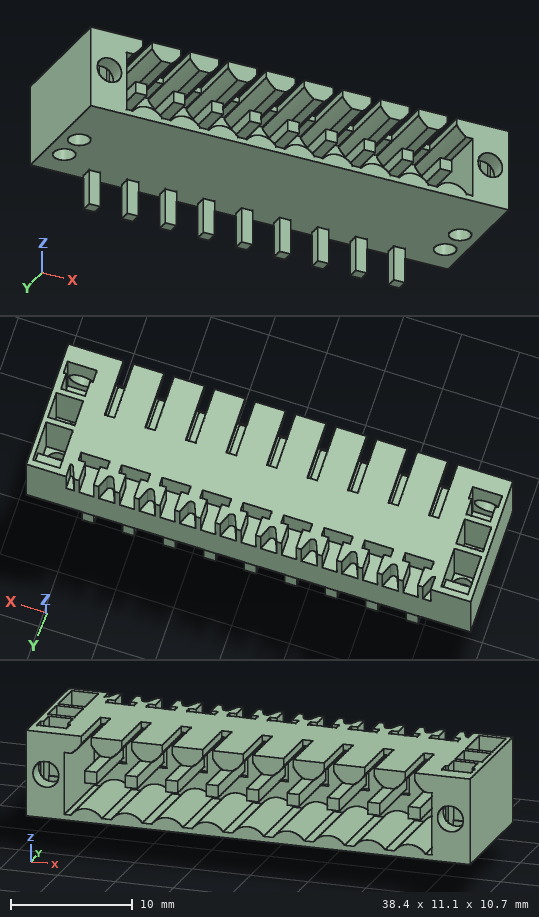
import cadquery as cq

length = 38.4
depth = 11.05
height = 7.45
tail_length = 3.2

pin_count = 9
pin_row_span = 28.0
pitch = pin_row_span / (pin_count - 1)
pin_size = 1.05
pin_z = 3.55
pin_tip_y = 1.15
pin_back_y = 10.65
recess_size = 1.75
recess_depth = 0.4

cavity_width = 31.8
cavity_floor = 0.5
cavity_back_y = 7.68
ceiling_z = 6.9
tooth_bottom_z = 5.88
tooth_tip_half_width = 0.45
tooth_flank_half_width = 0.95
tooth_flank_z = 6.3
tooth_corner_z = 6.8
key_slot_width = 0.85
key_slot_length = 4.95
rib_half_width = 1.35
rib_height = 0.7

groove_depth = 2.85
t_head_width = 2.45
t_neck_width = 1.25
t_head_y = 8.68
t_neck_y = 9.37
notch_half_width = 0.7
notch_depth = 1.15
notch_tip_half_width = 0.3
notch_tip_height = 0.23

flange_x = (pin_count + 1) / 2 * pitch
screw_radius = 1.1
screw_z = 3.8
nut_width = 2.55
nut_front_y = 1.5
nut_step_y = 2.55
nut_neck_width = 2.07
nut_neck_back_y = 3.9
nut_floor_z = 1.55
nut_ledge_z = 2.3
nut_ledge_depth = 0.1
pocket_outer_wall = 0.42
pocket_width = 2.3
pocket_floor_z = 1.55
front_pocket_y = (4.38, 6.6)
rear_pocket_y = (7.05, 10.52)
rear_shelf_y = 9.25
rear_shelf_z = 5.72
peg_hole_diameter = 1.9
peg_hole_ys = (5.5, 8.2)

half_row = (pin_count - 1) / 2
pin_xs = [(i - half_row) * pitch for i in range(pin_count)]
gap_xs = [(i - half_row - 0.5) * pitch for i in range(pin_count + 1)]
row_half_width = pin_count * pitch / 2


def block(x_range, y_range, z_range):
    """Box spanning the three given ranges."""
    size = [high - low for low, high in (x_range, y_range, z_range)]
    corner = (x_range[0], y_range[0], z_range[0])
    return cq.Workplane("XY").box(*size, centered=False).translate(corner)


def centred(middle, width):
    """Range of the given width about a middle value."""
    return (middle - width / 2, middle + width / 2)


def tooth(x):
    """Tooth hanging from the cavity ceiling, with a flat tip and bulged flanks."""
    half_width = (pitch - key_slot_width) / 2
    return (
        cq.Workplane("XZ", origin=(x, 0, 0))
        .moveTo(-half_width, ceiling_z)
        .lineTo(-half_width, tooth_corner_z)
        .threePointArc((-tooth_flank_half_width, tooth_flank_z), (-tooth_tip_half_width, tooth_bottom_z))
        .lineTo(tooth_tip_half_width, tooth_bottom_z)
        .threePointArc((tooth_flank_half_width, tooth_flank_z), (half_width, tooth_corner_z))
        .lineTo(half_width, ceiling_z)
        .close()
        .extrude(-cavity_back_y)
    )


def cavity():
    """Cavity with rounded ribs below the pins and teeth hanging between them."""
    void = block(centred(0, cavity_width), (0, cavity_back_y), (cavity_floor, ceiling_z))
    rib_radius = (rib_half_width**2 + rib_height**2) / (2 * rib_height)
    rib_axis_z = cavity_floor + rib_height - rib_radius
    for x in pin_xs:
        void = void.cut(rod(x, rib_axis_z, rib_radius, cavity_back_y))
    for x in gap_xs:
        void = void.cut(tooth(x))
    end_width = cavity_width / 2 - row_half_width
    for side in (-1, 1):
        middle = side * (row_half_width + end_width / 2)
        void = void.cut(block(centred(middle, end_width), (0, cavity_back_y), (tooth_bottom_z, ceiling_z)))
    return void


def rod(x, z, radius, rod_length):
    """Cylinder along Y that starts at the mating face."""
    plane = cq.Workplane("XZ", origin=(x, 0, z))
    return plane.circle(radius).extrude(-rod_length)


def t_groove(x):
    """T-shaped groove open to the back and the top."""
    z_range = (height - groove_depth, height)
    head = block(centred(x, t_head_width), (t_head_y, t_neck_y), z_range)
    neck = block(centred(x, t_neck_width), (t_neck_y, depth), z_range)
    return head.union(neck)


def back_notches():
    """Round-tipped V notches between the T grooves; the end ones are halved."""
    tip_start_y = notch_tip_height - notch_depth
    notches = cq.Workplane("XY")
    for x in gap_xs:
        notch = (
            cq.Workplane("XY", origin=(x, depth, height))
            .moveTo(-notch_half_width, 0)
            .lineTo(-notch_tip_half_width, tip_start_y)
            .threePointArc((0, -notch_depth), (notch_tip_half_width, tip_start_y))
            .lineTo(notch_half_width, 0)
            .close()
            .extrude(-groove_depth)
        )
        notches = notches.add(notch)
    row = block(centred(0, 2 * row_half_width), (0, depth), (0, height))
    return notches.combine().intersect(row)


def flange_cuts(side):
    """Screw hole, nut pocket and pegged pockets of the flange on one end (side is -1 or 1)."""
    x = side * flange_x
    nut = block(centred(x, nut_width), (nut_front_y, nut_step_y), (nut_floor_z, height))
    neck_back_low = nut_neck_back_y - nut_ledge_depth
    neck = block(centred(x, nut_neck_width), (nut_step_y, neck_back_low), (nut_floor_z, height))
    neck_top = block(centred(x, nut_neck_width), (neck_back_low, nut_neck_back_y), (nut_ledge_z, height))
    cuts = rod(x, screw_z, screw_radius, nut_front_y).union(nut).union(neck).union(neck_top)

    pocket_x = centred(side * (length / 2 - pocket_outer_wall - pocket_width / 2), pocket_width)
    rear_deep_y = (rear_pocket_y[0], rear_shelf_y)
    cuts = cuts.union(block(pocket_x, front_pocket_y, (pocket_floor_z, height)))
    cuts = cuts.union(block(pocket_x, rear_deep_y, (pocket_floor_z, height)))
    cuts = cuts.union(block(pocket_x, (rear_shelf_y, rear_pocket_y[1]), (rear_shelf_z, height)))
    for y in peg_hole_ys:
        hole = cq.Workplane("XY", origin=(x, y, 0)).circle(peg_hole_diameter / 2).extrude(pocket_floor_z)
        cuts = cuts.union(hole)
    return cuts


def make_pin(x):
    """Right-angle pin: a straight contact that turns down into a tail."""
    top = pin_z + pin_size / 2
    bottom = pin_z - pin_size / 2
    y_contact = (pin_tip_y, pin_back_y)
    y_tail = (pin_back_y - pin_size, pin_back_y)
    contact = block(centred(x, pin_size), y_contact, (bottom, top))
    tail = block(centred(x, pin_size), y_tail, (-tail_length, bottom))
    return contact.union(tail)


def make_housing(pins):
    """Housing with the cavity, grooves, flange cuts and a fitting passage for every pin."""
    body = block(centred(0, length), (0, depth), (0, height))
    body = body.cut(cavity()).cut(back_notches())
    recess_y = (cavity_back_y, cavity_back_y + recess_depth)
    for x in pin_xs:
        body = body.cut(block(centred(x, key_slot_width), (0, key_slot_length), (ceiling_z, height)))
        body = body.cut(block(centred(x, recess_size), recess_y, centred(pin_z, recess_size)))
        body = body.cut(t_groove(x))
    for side in (-1, 1):
        body = body.cut(flange_cuts(side))
    for pin in pins:
        body = body.cut(pin)
    return body


pins = [make_pin(x) for x in pin_xs]
housing = make_housing(pins)

result = cq.Compound.makeCompound([housing.solids().val(), *[pin.val() for pin in pins]])